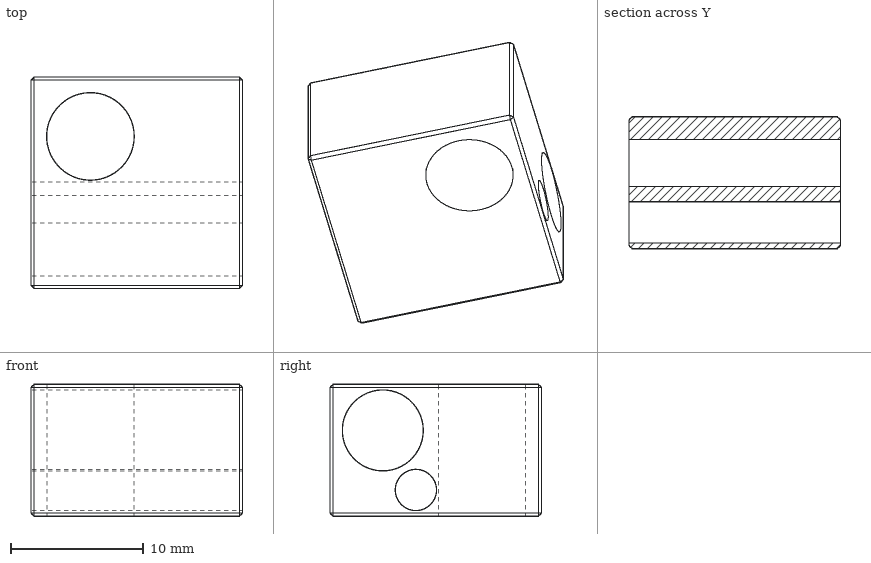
import cadquery as cq

length_x = 16.0
width_y = 16.0
height_z = 10.0
edge_chamfer = 0.25

vertical_diameter = 6.6
vertical_inset = 4.5

large_cross_diameter = 6.1
large_cross_inset = 4.0
large_cross_height = 6.5
small_cross_diameter = 3.1
small_cross_inset = 6.5
small_cross_height = 2.0


def chamfered_block():
    """Rectangular block with every edge broken."""
    return cq.Workplane("XY").box(length_x, width_y, height_z).edges().chamfer(edge_chamfer)


def vertical_hole():
    """Cutter for the hole along Z."""
    x = -length_x / 2 + vertical_inset
    y = width_y / 2 - vertical_inset
    return (
        cq.Workplane("XY", origin=(x, y, 0))
        .circle(vertical_diameter / 2)
        .extrude(height_z, both=True)
    )


def cross_hole(diameter, inset, height):
    """Cutter for a hole along X."""
    y = -width_y / 2 + inset
    z = -height_z / 2 + height
    return (
        cq.Workplane("YZ", origin=(0, y, z))
        .circle(diameter / 2)
        .extrude(length_x, both=True)
    )


result = (
    chamfered_block()
    .cut(vertical_hole())
    .cut(cross_hole(large_cross_diameter, large_cross_inset, large_cross_height))
    .cut(cross_hole(small_cross_diameter, small_cross_inset, small_cross_height))
)